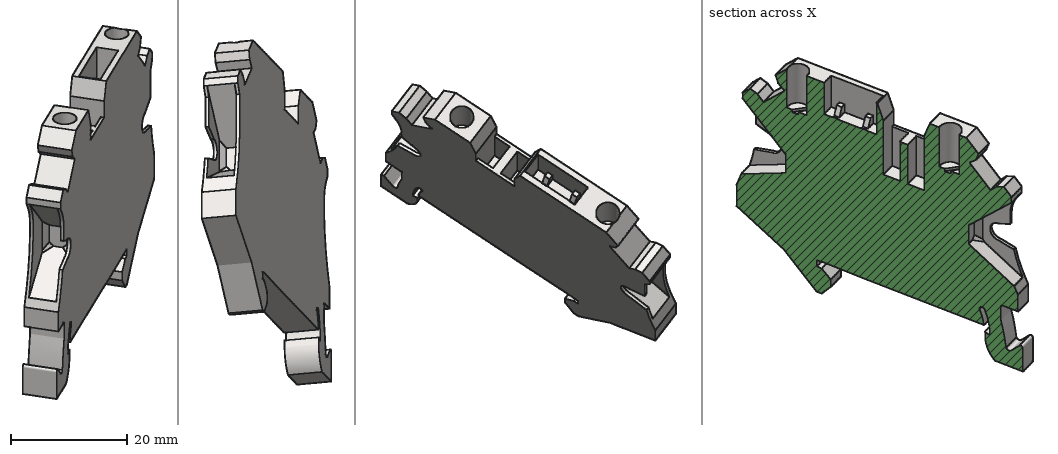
import cadquery as cq


thickness = 6.1
half_thickness = thickness / 2
height = 46.9
hook_end = -29.4
heel_end = 28.4
rail_top = 6.95

gap_floor = 40.35
gap_wall_top = 43.6
gap_near, gap_far = -9.4, -1.35
gap_flare = 1.2

well_radius = 2.0
well_depth = 8.65
well_places = (-14.55, 16.2)
screw_slot_width = 0.8
screw_slot_depth = 0.6
screw_slot_angle = -45

pocket_width = 3.9
pocket_start, pocket_end = 0.1, 10.65
pocket_depth = 6.95
rib_width = 1.05
rib_height = 1.75
rib_places = (2.65, 8.45)
vee_top = 2.1
vee_bottom = 0.45

inner_width = 4.9
shaft_depth = 8.65
shaft_bar_start, shaft_bar_end = -6.25, -4.6

funnel_top = 36.35
near_sill, far_sill = 18.2, 19.55
sill_reach = 27.6
funnel_back = 18.5
throat_top, throat_bottom = 27.7, 23.65
throat_half_width = 1.55
throat_corner = 0.7
funnel_axis = 26.2
flare_depth = 1.15

notch_radius = 1.85
notch_centre = 22.95
notch_mouth = 26.6
notch_mouth_top, notch_mouth_bottom = 29.5, 23.45

shoulder = [
    (18.05, height),
    (20.5, 44.35),
    (20.0, 42.8),
    (18.7, 41.6),
    (22.9, 37.4),
    (24.1, 38.65),
    (25.6, 39.25),
    (27.15, 37.6),
    (27.15, funnel_top),
]
near_shoulder = [(-y, z) for y, z in shoulder]
far_shoulder = shoulder[::-1]


def make_body():
    outline = cq.Workplane("YZ").moveTo(gap_far + gap_flare, height)
    outline = outline.lineTo(gap_far, gap_wall_top).lineTo(gap_far, gap_floor)
    outline = outline.lineTo(gap_near, gap_floor).lineTo(gap_near, gap_wall_top)
    outline = outline.lineTo(gap_near - gap_flare, height)
    for point in near_shoulder:
        outline = outline.lineTo(*point)

    outline = (
        outline.lineTo(-26.4, 35.25)
        .threePointArc((-25.5, 33.4), (-25.15, 31.3))
        .lineTo(-25.15, 28.95)
        .threePointArc((-26.35, 21.9), (-28.45, 16.65))
        .lineTo(-28.45, 12.85)
        .lineTo(-25.15, 12.85)
        .lineTo(-25.0, 12.6)
    )
    outline = (
        outline.lineTo(-25.0, 9.55)
        .threePointArc((-25.6, 6.95), (-26.05, 3.95))
        .threePointArc((-26.55, 3.6), (-27.0, 3.7))
        .lineTo(-28.8, 5.6)
        .threePointArc((-29.2, 5.6), (hook_end, 5.2))
        .lineTo(hook_end, 0)
        .lineTo(-23.75, 0)
        .threePointArc((-22.3, 1.95), (-21.75, 4.35))
        .lineTo(-21.75, 5.6)
        .lineTo(-22.7, 5.3)
    )
    outline = (
        outline.threePointArc((-22.4, 8.1), (-21.7, 10.4))
        .threePointArc((-21.15, 10.75), (-20.7, 10.2))
        .threePointArc((-21.25, 8.65), (-21.55, rail_top))
    )
    outline = (
        outline.lineTo(2.3, rail_top)
        .lineTo(11.0, 7.05)
        .lineTo(12.1, rail_top)
        .lineTo(12.1, 5.7)
        .lineTo(11.15, 5.6)
        .lineTo(9.3, 4.0)
        .lineTo(9.3, 2.3)
        .lineTo(11.15, 0)
        .lineTo(12.2, 0)
        .lineTo(18.85, 6.55)
    )
    outline = (
        outline.lineTo(heel_end, 12.1)
        .lineTo(heel_end, 16.8)
        .threePointArc((26.8, 21.95), (26.1, 27.15))
        .lineTo(26.1, 34.6)
        .threePointArc((26.6, 35.4), (27.15, funnel_top))
    )
    for point in far_shoulder[1:]:
        outline = outline.lineTo(*point)
    return outline.close().extrude(half_thickness, both=True)


def make_screw_well(y):
    floor = height - well_depth
    well = cq.Workplane("XY", origin=(0, y, floor)).circle(well_radius).extrude(well_depth)
    slot = (
        cq.Workplane("XY", origin=(0, y, floor))
        .transformed(rotate=(0, 0, screw_slot_angle))
        .rect(2 * well_radius, screw_slot_width)
        .extrude(-screw_slot_depth)
    )
    return well.union(slot)


def make_marker_pocket():
    floor = height - pocket_depth
    length = pocket_end - pocket_start
    pocket = (
        cq.Workplane("XY", origin=(0, (pocket_start + pocket_end) / 2, floor))
        .rect(pocket_width, length)
        .extrude(pocket_depth)
    )
    for y in rib_places:
        rib = (
            cq.Workplane("XZ", origin=(0, y, floor))
            .polyline([
                (pocket_width / 2, 0),
                (pocket_width / 2, rib_height),
                (vee_top / 2, rib_height),
                (vee_bottom / 2, 0),
            ])
            .close()
            .extrude(rib_width / 2, both=True)
        )
        pocket = pocket.cut(rib).cut(rib.mirror("YZ"))
    return pocket


def make_shaft(start, end):
    return (
        cq.Workplane("XY", origin=(0, (start + end) / 2, gap_floor))
        .rect(inner_width, end - start)
        .extrude(-shaft_depth)
    )


def throat_section(y, scale):
    """Throat outline with cut lower corners, scaled about the wire axis."""
    half = throat_half_width
    corner = half - throat_corner
    top = funnel_top - funnel_axis
    bottom = throat_bottom - funnel_axis
    points = [
        (-half, top),
        (half, top),
        (half, bottom + throat_corner),
        (corner, bottom),
        (-corner, bottom),
        (-half, bottom + throat_corner),
    ]
    scaled = [cq.Vector(x * scale, y, funnel_axis + z * scale) for x, z in points]
    return cq.Wire.makePolygon(scaled, close=True)


def make_funnel(sill):
    """Funnel with its mouth toward +Y: sloped roof and floor, tapering into the throat."""
    mouth = funnel_back + (funnel_top - throat_top)
    beyond = heel_end + 0.6
    wedge = (
        cq.Workplane("YZ")
        .polyline([
            (funnel_back, throat_top),
            (mouth, funnel_top),
            (beyond, funnel_top),
            (beyond, sill),
            (sill_reach, sill),
            (funnel_back, throat_bottom),
        ])
        .close()
        .extrude(inner_width / 2, both=True)
    )
    widening = (inner_width / 2 / throat_half_width - 1) / flare_depth
    end_scale = 1 + widening * (beyond - funnel_back)
    flare = cq.Solid.makeLoft([throat_section(funnel_back, 1), throat_section(beyond, end_scale)], True)
    return wedge.intersect(cq.Workplane(flare))


def make_wall_notch():
    """Round-bottomed notch through the +X wall, widening toward +Y."""
    top = funnel_axis + notch_radius
    bottom = funnel_axis - notch_radius
    return (
        cq.Workplane("YZ")
        .moveTo(notch_mouth, notch_mouth_top)
        .lineTo(notch_centre, top)
        .threePointArc((notch_centre - notch_radius, funnel_axis), (notch_centre, bottom))
        .lineTo(notch_mouth, notch_mouth_bottom)
        .close()
        .extrude(thickness)
    )


result = make_body()
for well_y in well_places:
    result = result.cut(make_screw_well(well_y))
result = result.cut(make_marker_pocket())
result = result.cut(make_shaft(gap_near, shaft_bar_start))
result = result.cut(make_shaft(shaft_bar_end, gap_far))
notch = make_wall_notch()
result = result.cut(make_funnel(far_sill)).cut(notch)
result = result.cut(make_funnel(near_sill).mirror("XZ")).cut(notch.mirror("XZ"))